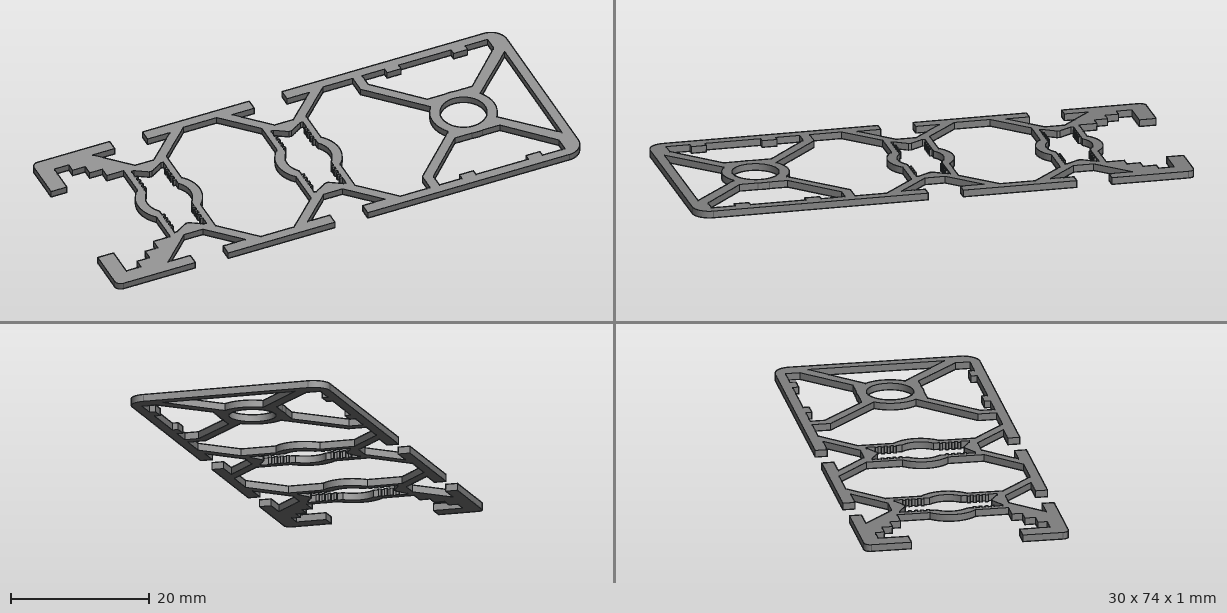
import cadquery as cq

LENGTH = 74.0
WIDTH = 30.0
THICKNESS = 1.0
HALF_LENGTH = LENGTH / 2
HALF_WIDTH = WIDTH / 2
TOP_CORNER_RADIUS = 2.5
BOTTOM_CORNER_RADIUS = 0.95

WALL = 1.5
INNER_X = HALF_WIDTH - WALL

BOSS_Y = 24.5
BOSS_RADIUS = 4.9
BOSS_HOLE_RADIUS = 3.4
CELL_HALF_HEIGHT = 9.9
CELL_OUTER_FLAT_X = 11.4
CELL_INNER_X = 4.8
CELL_INNER_HALF_HEIGHT = 3.55
TOP_CELL_HALF_WIDTH = 10.0
TAB_HEIGHT = 2.2
TAB_DEPTH = 0.9
TAB_OFFSET = 5.25

UPPER_JOINT_Y = 0.0
LOWER_JOINT_Y = -22.05
SLOT_MOUTH_HALF = 2.6
SLOT_BOTTOM_X = 8.6
SLOT_BOTTOM_HALF = 1.5
LIP_WIDTH = 1.8
LIP_X = HALF_WIDTH - LIP_WIDTH
SLOT_FLARE_HALF = SLOT_BOTTOM_HALF + LIP_X - SLOT_BOTTOM_X
WEB_OUTER = 3.5
CAVITY_HALF_HEIGHT = 2.5
CAVITY_HALF_WIDTH = 7.55
CAVITY_SHOULDER = 2.15
SPIKE_X = 6.4
SPIKE_HALF_FLAT = 0.2
BULGE_OUTER = 4.9
BULGE_OUTER_HALF_CHORD = 3.3
BULGE_INNER = 3.4
BULGE_INNER_HALF_CHORD = 2.3
TOOTH_COUNT = 4
TOOTH_WIDTH = 0.41
TOOTH_PITCH = 0.9
TOOTH_HEIGHT = 0.4
TOOTH_START_X = 3.2

CHAMBER_CORNER_X = 8.6
CHAMBER_RISE = INNER_X - CHAMBER_CORNER_X
UPPER_CHAMBER_TOP = BOSS_Y - CELL_HALF_HEIGHT - WALL
UPPER_CHAMBER_FLAT_X = 10.8
UPPER_CHAMBER_APEX_Y = 23.7

MOUTH_HALF_WIDTH = 8.15
MOUTH_TOP = LOWER_JOINT_Y - WEB_OUTER
FIRST_STEP_Y = -28.2
STEP_WIDTH = 1.55
STEP_HEIGHT = 2.0
STEP_COUNT = 3
MOUTH_LIP = 2.5
MOUTH_INNER_X = 12.6


def prism(points):
    return cq.Workplane("XY").polyline(points).close().extrude(THICKNESS)


def symmetric_prism(right_points):
    """Prism from its right-hand outline, mirrored to the left."""
    left_points = [(-x, y) for x, y in reversed(right_points) if x > 0]
    return prism(right_points + left_points)


def block(x_size, y_size, x, y):
    return cq.Workplane("XY").center(x, y).rect(x_size, y_size).extrude(THICKNESS)


def disc(radius, y):
    return cq.Workplane("XY").center(0, y).circle(radius).extrude(THICKNESS)


def both_sides(solid):
    return solid.union(solid.mirror("YZ"))


def bulge(half_chord, base, crown, joint_y, direction):
    """Circular segment standing on a joint web, pointing up (+1) or down (-1)."""
    base_y = joint_y + direction * base
    crown_y = joint_y + direction * crown
    return (
        cq.Workplane("XY")
        .moveTo(-half_chord, base_y)
        .threePointArc((0, crown_y), (half_chord, base_y))
        .close()
        .extrude(THICKNESS)
    )


def blank():
    body = block(WIDTH, LENGTH, 0, 0)
    body = body.edges("|Z and >Y").fillet(TOP_CORNER_RADIUS)
    return body.edges("|Z and <Y").fillet(BOTTOM_CORNER_RADIUS)


def side_cell():
    cell = prism([
        (INNER_X, BOSS_Y + CELL_HALF_HEIGHT),
        (CELL_OUTER_FLAT_X, BOSS_Y + CELL_HALF_HEIGHT),
        (CELL_INNER_X, BOSS_Y + CELL_INNER_HALF_HEIGHT),
        (CELL_INNER_X, BOSS_Y - CELL_INNER_HALF_HEIGHT),
        (CELL_OUTER_FLAT_X, BOSS_Y - CELL_HALF_HEIGHT),
        (INNER_X, BOSS_Y - CELL_HALF_HEIGHT),
    ])
    for side in (-1, 1):
        tab_x = INNER_X - TAB_DEPTH / 2
        cell = cell.cut(block(TAB_DEPTH, TAB_HEIGHT, tab_x, BOSS_Y + side * TAB_OFFSET))
    return cell


def top_cell():
    top = HALF_LENGTH - WALL
    return symmetric_prism([(0, top - TOP_CELL_HALF_WIDTH), (TOP_CELL_HALF_WIDTH, top)])


def upper_chamber():
    floor = UPPER_JOINT_Y + WEB_OUTER
    return symmetric_prism([
        (CHAMBER_CORNER_X, floor),
        (INNER_X, floor + CHAMBER_RISE),
        (INNER_X, UPPER_CHAMBER_TOP),
        (UPPER_CHAMBER_FLAT_X, UPPER_CHAMBER_TOP),
        (0, UPPER_CHAMBER_APEX_Y),
    ])


def middle_chamber():
    floor = LOWER_JOINT_Y + WEB_OUTER
    ceiling = UPPER_JOINT_Y - WEB_OUTER
    return symmetric_prism([
        (CHAMBER_CORNER_X, floor),
        (INNER_X, floor + CHAMBER_RISE),
        (INNER_X, ceiling - CHAMBER_RISE),
        (CHAMBER_CORNER_X, ceiling),
    ])


def mouth():
    outline = [(MOUTH_HALF_WIDTH, -HALF_LENGTH), (MOUTH_HALF_WIDTH, -HALF_LENGTH + MOUTH_LIP)]
    outline.append((MOUTH_INNER_X, -HALF_LENGTH + MOUTH_LIP))
    outer_x = MOUTH_INNER_X
    for step in reversed(range(STEP_COUNT)):
        step_y = FIRST_STEP_Y - step * STEP_HEIGHT
        inner_x = MOUTH_HALF_WIDTH + step * STEP_WIDTH
        outline += [(outer_x, step_y), (inner_x, step_y)]
        outer_x = inner_x
    outline.append((MOUTH_HALF_WIDTH, MOUTH_TOP))
    return symmetric_prism(outline)


def side_slot(joint_y):
    right_half = [
        (HALF_WIDTH, SLOT_MOUTH_HALF),
        (LIP_X, SLOT_MOUTH_HALF),
        (LIP_X, SLOT_FLARE_HALF),
        (SLOT_BOTTOM_X, SLOT_BOTTOM_HALF),
    ]
    upper = [(x, joint_y + y) for x, y in right_half]
    lower = [(x, joint_y - y) for x, y in reversed(right_half)]
    return prism(upper + lower)


def joint_cavity(joint_y):
    cavity = symmetric_prism([
        (CAVITY_HALF_WIDTH, joint_y - CAVITY_HALF_HEIGHT),
        (CAVITY_HALF_WIDTH, joint_y - CAVITY_SHOULDER),
        (SPIKE_X, joint_y - SPIKE_HALF_FLAT),
        (SPIKE_X, joint_y + SPIKE_HALF_FLAT),
        (CAVITY_HALF_WIDTH, joint_y + CAVITY_SHOULDER),
        (CAVITY_HALF_WIDTH, joint_y + CAVITY_HALF_HEIGHT),
    ])
    tooth_y = CAVITY_HALF_HEIGHT - TOOTH_HEIGHT / 2
    for direction in (-1, 1):
        cavity = cavity.union(
            bulge(BULGE_INNER_HALF_CHORD, CAVITY_HALF_HEIGHT, BULGE_INNER, joint_y, direction)
        )
        for index in range(TOOTH_COUNT):
            tooth_x = TOOTH_START_X + TOOTH_WIDTH / 2 + index * TOOTH_PITCH
            tooth = block(TOOTH_WIDTH, TOOTH_HEIGHT, tooth_x, joint_y + direction * tooth_y)
            cavity = cavity.cut(both_sides(tooth))
    return cavity


result = blank()
for opening in (both_sides(side_cell()), top_cell(), upper_chamber(), middle_chamber(), mouth()):
    result = result.cut(opening)

result = result.union(disc(BOSS_RADIUS, BOSS_Y)).cut(disc(BOSS_HOLE_RADIUS, BOSS_Y))

for joint_y in (UPPER_JOINT_Y, LOWER_JOINT_Y):
    for direction in (-1, 1):
        result = result.union(
            bulge(BULGE_OUTER_HALF_CHORD, WEB_OUTER, BULGE_OUTER, joint_y, direction)
        )
    result = result.cut(both_sides(side_slot(joint_y))).cut(joint_cavity(joint_y))